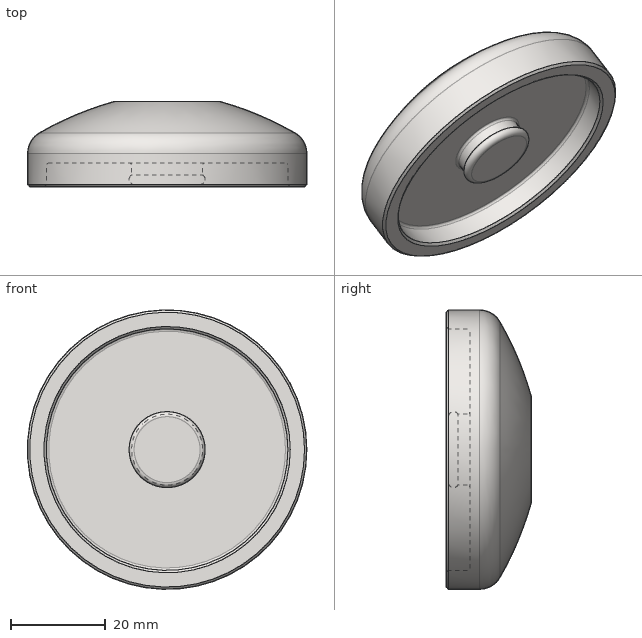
import cadquery as cq
import math

outer_radius = 29.5
total_height = 18.0
edge_break = 0.5
rim_height = 7.0

shoulder_radius = 5.0
shoulder_sweep = math.radians(60)
flat_radius = 11.2

recess_radius = 25.5
recess_depth = 5.0

neck_radius = 7.5
head_radius = 8.0
head_round = 1.05
head_setback = 0.5


def shoulder_point(angle):
    """Point on the shoulder arc, with the angle measured from the rim wall."""
    radius = outer_radius - shoulder_radius * (1 - math.cos(angle))
    height = rim_height + shoulder_radius * math.sin(angle)
    return radius, height


def revolve(profile):
    """Turn a closed radius-height profile about the Y axis."""
    return profile.close().revolve(360, (0, 0, 0), (0, 1, 0))


def make_dome():
    profile = (
        cq.Workplane("XY")
        .lineTo(outer_radius - edge_break, 0)
        .lineTo(outer_radius, edge_break)
        .lineTo(outer_radius, rim_height)
        .threePointArc(shoulder_point(shoulder_sweep / 2), shoulder_point(shoulder_sweep))
        .tangentArcPoint((flat_radius, total_height), relative=False)
        .lineTo(0, total_height)
    )
    return revolve(profile)


def make_recess():
    """Space inside the rim, in front of the button and around it."""
    fillet_mid = edge_break * (1 - math.sqrt(0.5))
    head_center_radius = head_radius - head_round
    head_center_depth = head_setback + head_round
    undercut = math.sqrt(head_round**2 - (neck_radius - head_center_radius) ** 2)
    profile = (
        cq.Workplane("XY")
        .lineTo(0, head_setback)
        .lineTo(head_center_radius, head_setback)
        .threePointArc((head_radius, head_center_depth), (neck_radius, head_center_depth + undercut))
        .lineTo(neck_radius, recess_depth - edge_break)
        .threePointArc(
            (neck_radius + fillet_mid, recess_depth - fillet_mid),
            (neck_radius + edge_break, recess_depth),
        )
        .lineTo(recess_radius - edge_break, recess_depth)
        .threePointArc(
            (recess_radius - fillet_mid, recess_depth - fillet_mid),
            (recess_radius, recess_depth - edge_break),
        )
        .lineTo(recess_radius, edge_break)
        .lineTo(recess_radius + edge_break, 0)
    )
    return revolve(profile)


result = make_dome().cut(make_recess())